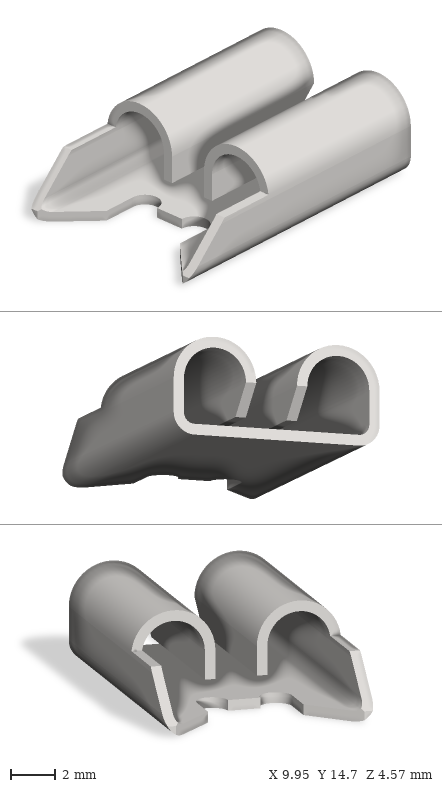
import cadquery as cq

width = 9.95
length = 14.68
height = 4.57
thickness = 0.5

loop_radius = 2.0
bend_radius = 2 * thickness
lip_bottom = 1.2

loop_front = 5.2
wall_top = 2.8
tip_height = 0.55
tip_width = 0.51

notch_half_width = 2.26
notch_depth = 3.96
relief_radius = 0.75

half_width = width / 2
loop_base = height - loop_radius
loop_center = half_width - loop_radius
lip_outer = half_width - 2 * loop_radius
lip_inner = lip_outer + thickness
wall_inner = half_width - thickness


def half_channel():
    """Right half of the sheet section: floor, bend, wall, rolled loop and lip."""
    return (
        cq.Workplane("XZ")
        .moveTo(0, 0)
        .lineTo(half_width - bend_radius, 0)
        .radiusArc((half_width, bend_radius), -bend_radius)
        .lineTo(half_width, loop_base)
        .threePointArc((loop_center, height), (lip_outer, loop_base))
        .lineTo(lip_outer, lip_bottom)
        .lineTo(lip_inner, lip_bottom)
        .lineTo(lip_inner, loop_base)
        .threePointArc((loop_center, height - thickness), (wall_inner, loop_base))
        .lineTo(wall_inner, bend_radius)
        .radiusArc((half_width - bend_radius, thickness), bend_radius - thickness)
        .lineTo(0, thickness)
        .close()
        .extrude(-length)
    )


def wall_trim():
    """Space above the front walls, with a 45 degree slope down to the tips."""
    return (
        cq.Workplane("YZ")
        .moveTo(0, tip_height)
        .lineTo(wall_top - tip_height, wall_top)
        .lineTo(loop_front, wall_top)
        .lineTo(loop_front, height)
        .lineTo(0, height)
        .close()
        .extrude(half_width, both=True)
    )


def lip_trim():
    """Space between the front walls, where the loops and their lips stop short."""
    return (
        cq.Workplane("XY", origin=(0, loop_front / 2, lip_bottom))
        .rect(2 * loop_center, loop_front)
        .extrude(height - lip_bottom)
    )


def lip_rear_chamfer():
    """45 degree chamfer across the rear lower corner of both lips."""
    chamfer = loop_base - lip_bottom
    return (
        cq.Workplane("YZ")
        .moveTo(length, loop_base)
        .lineTo(length, lip_bottom)
        .lineTo(length - chamfer, lip_bottom)
        .close()
        .extrude(loop_center, both=True)
    )


def floor_notch():
    """Front opening in the floor, flared at 45 degrees towards the tips."""
    mouth_half_width = half_width - tip_width
    flare_depth = mouth_half_width - notch_half_width
    relief_center = notch_half_width - relief_radius
    notch = (
        cq.Workplane("XY")
        .moveTo(-mouth_half_width, 0)
        .lineTo(mouth_half_width, 0)
        .lineTo(notch_half_width, flare_depth)
        .lineTo(notch_half_width, notch_depth)
        .lineTo(-notch_half_width, notch_depth)
        .lineTo(-notch_half_width, flare_depth)
        .close()
        .extrude(bend_radius)
    )
    reliefs = (
        cq.Workplane("XY")
        .pushPoints([(-relief_center, notch_depth), (relief_center, notch_depth)])
        .circle(relief_radius)
        .extrude(thickness)
    )
    return notch.union(reliefs)


right_half = half_channel()
channel = right_half.union(right_half.mirror("YZ"))
result = channel.cut(wall_trim()).cut(lip_trim()).cut(lip_rear_chamfer()).cut(floor_notch())